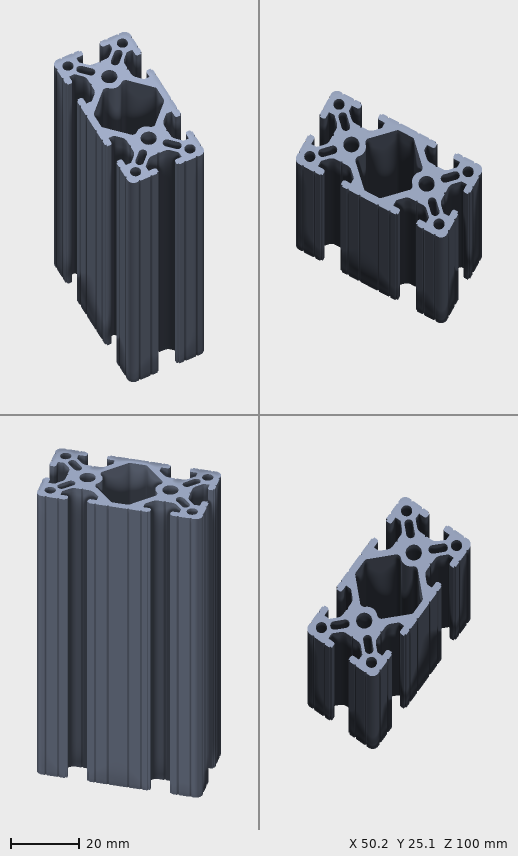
import cadquery as cq
import math

module = 25.1
width = 2 * module
depth = module
length = 100.0
corner_radius = 2.0

slot_opening = 6.0
slot_inner_width = 11.0
slot_depth = 6.4
lip_thickness = 2.1
lip_radius = 0.7
lip_step_width = 0.65
lip_step_depth = 0.4
slot_wall_depth = 3.9
floor_radius = 2.5

groove_width = 0.8
groove_depth = 0.4
groove_offsets = (5.6, 9.45)

core_hole_diameter = 4.75
corner_hole_diameter = 3.3
corner_hole_inset = 3.55
diagonal_slot_width = 2.55
diagonal_slot_start = 6.3
diagonal_slot_end = 8.55

cavity_wall = 2.15
cavity_half_width = 9.35
cavity_flat_half_width = 2.6
cavity_fillet = 1.0
boss_reach = 4.45
boss_radius = 3.0

core_x = width / 4

slots = [(sx * core_x, sy * depth / 2, -sy * 90) for sx in (-1, 1) for sy in (-1, 1)]
slots += [(-width / 2, 0, 0), (width / 2, 0, 180)]


def place(shape, slot):
    """Move a shape from slot axes (X inward, Y across the mouth) to the profile."""
    x, y, angle = slot
    return shape.rotate((0, 0, 0), (0, 0, 1), angle).translate((x, y, 0))


def slot_point(slot, inward, across):
    """Profile position of a point given in slot axes."""
    x, y, angle = slot
    c = math.cos(math.radians(angle))
    s = math.sin(math.radians(angle))
    return (x + inward * c - across * s, y + inward * s + across * c)


def upright_edge(body, point):
    """The vertical edge of the body that passes through a profile point."""
    x, y = point
    return body.edges("|Z").edges(cq.NearestToPointSelector((x, y, length / 2)))


def v_groove(inward, across):
    """V groove cut into a face that lies at the given depth below the slot mouth."""
    half = groove_width / 2
    points = [(inward, across - half), (inward + groove_depth, across), (inward, across + half)]
    return cq.Workplane("XY").polyline(points).close().extrude(length)


def slot_cutter():
    """T-slot with 45 degree flanks, rounded floor corners and its V grooves."""
    mouth = slot_opening / 2
    wall = slot_inner_width / 2
    floor = wall - (slot_depth - slot_wall_depth)
    side = [
        (0, mouth + lip_step_width),
        (lip_step_depth, mouth + lip_step_width),
        (lip_step_depth, mouth),
        (lip_thickness, mouth),
        (lip_thickness, wall),
        (slot_wall_depth, wall),
        (slot_depth, floor),
    ]
    mirrored = [(x, -y) for x, y in reversed(side)]
    cutter = cq.Workplane("XY").polyline(side + mirrored).close().extrude(length)
    cutter = cutter.edges("|Z and >X").fillet(floor_radius)
    cutter = cutter.union(v_groove(slot_depth, 0))
    for offset in groove_offsets:
        for sign in (-1, 1):
            cutter = cutter.union(v_groove(0, sign * offset))
    return cutter


def round_lips(body, slot):
    """Round the inner edges of both lips of one slot."""
    for across in (-slot_opening / 2, slot_opening / 2):
        edge = upright_edge(body, slot_point(slot, lip_thickness, across))
        body = edge.fillet(lip_radius)
    return body


def diagonal_slot(sx, sy):
    """Obround opening on the diagonal of one outer corner."""
    middle = (diagonal_slot_start + diagonal_slot_end) / 2
    span = (diagonal_slot_end - diagonal_slot_start) * math.sqrt(2)
    return (
        cq.Workplane("XY")
        .center(sx * (width / 2 - middle), sy * (depth / 2 - middle))
        .slot2D(span + diagonal_slot_width, diagonal_slot_width, sx * sy * 45)
        .extrude(length)
    )


def cavity_cutter():
    """Octagonal cavity, narrowed by a round boss beside each core hole."""
    top = depth / 2 - cavity_wall
    shoulder = top - (cavity_half_width - cavity_flat_half_width)
    quarter = [(cavity_half_width, shoulder), (cavity_flat_half_width, top)]
    left = [(-x, y) for x, y in reversed(quarter)]
    upper = quarter + left
    lower = [(-x, -y) for x, y in upper]
    cavity = cq.Workplane("XY").polyline(upper + lower).close().extrude(length)
    boss_x = core_x - boss_reach + boss_radius
    bosses = (
        cq.Workplane("XY")
        .pushPoints([(-boss_x, 0), (boss_x, 0)])
        .circle(boss_radius)
        .extrude(length)
    )
    return cavity.cut(bosses).edges("|Z").fillet(cavity_fillet)


def round_holes(points, diameter):
    """Cutters for equal round holes running the full length."""
    return cq.Workplane("XY").pushPoints(points).circle(diameter / 2).extrude(length)


profile = cq.Workplane("XY").rect(width, depth).extrude(length)
profile = profile.edges("|Z").fillet(corner_radius)

cutter = slot_cutter()
for slot in slots:
    profile = profile.cut(place(cutter, slot))
for slot in slots:
    profile = round_lips(profile, slot)

corners = [(sx, sy) for sx in (-1, 1) for sy in (-1, 1)]
hole_x = width / 2 - corner_hole_inset
hole_y = depth / 2 - corner_hole_inset
corner_holes = [(sx * hole_x, sy * hole_y) for sx, sy in corners]
profile = profile.cut(round_holes(corner_holes, corner_hole_diameter))
profile = profile.cut(round_holes([(-core_x, 0), (core_x, 0)], core_hole_diameter))
for sx, sy in corners:
    profile = profile.cut(diagonal_slot(sx, sy))

result = profile.cut(cavity_cutter())